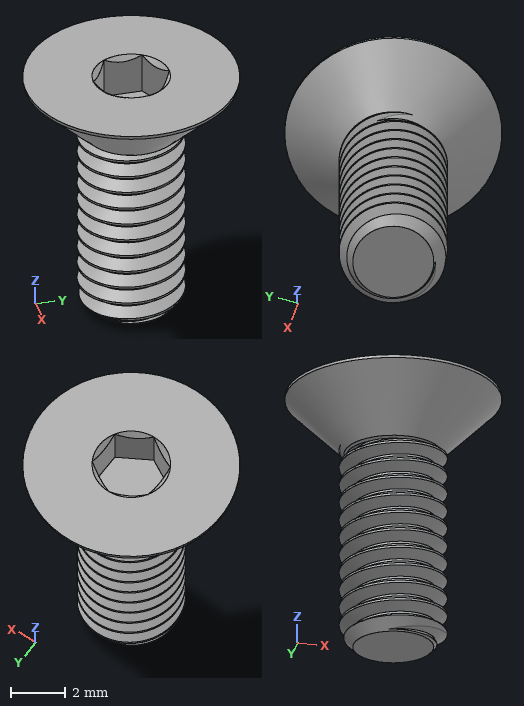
import cadquery as cq
import math

total_length = 10.0
head_diameter = 8.0
head_height = 2.3
rim_height = 0.12

major_diameter = 4.0
pitch = 0.7
root_diameter = 3.09
flank_angle = 30.0
root_width = pitch / 8
crest_height_at_x = 0.57
tip_radius = 1.49

socket_flats = 2.5
socket_depth = 1.6

head_radius = head_diameter / 2
major_radius = major_diameter / 2
root_radius = root_diameter / 2
head_base = total_length - head_height
rim_base = total_length - rim_height
head_base_radius = head_radius - (rim_base - head_base)
shank_top = rim_base - (head_radius - major_radius)


def revolve_profile(points):
    return cq.Workplane("XZ").polyline(points).close().revolve(360, (0, 0), (0, 1))


def make_head():
    return revolve_profile([
        (0, head_base),
        (head_base_radius, head_base),
        (head_radius, rim_base),
        (head_radius, total_length),
        (0, total_length),
    ])


def make_thread_groove():
    """Sweep one continuous V groove that overruns both ends of the shank."""
    clearance = 0.05
    outer_radius = major_radius + clearance
    root_half = root_width / 2
    mouth_half = root_half + (outer_radius - root_radius) * math.tan(math.radians(flank_angle))
    start = crest_height_at_x - 2.5 * pitch
    turns = math.ceil((shank_top - start) / pitch) + 1
    path = cq.Wire.makeHelix(pitch, turns * pitch, root_radius, cq.Vector(0, 0, start))
    profile = cq.Workplane("XZ").polyline([
        (root_radius, start + root_half),
        (outer_radius, start + mouth_half),
        (outer_radius, start - mouth_half),
        (root_radius, start - root_half),
    ]).close()
    return profile.sweep(cq.Workplane(obj=path), isFrenet=True)


def make_shank():
    blank = revolve_profile([
        (0, 0),
        (tip_radius, 0),
        (major_radius, major_radius - tip_radius),
        (major_radius, shank_top),
        (0, shank_top),
    ])
    bar_side = 1.5 * major_diameter
    bar = cq.Workplane("XY").rect(bar_side, bar_side).extrude(shank_top)
    return bar.cut(make_thread_groove()).intersect(blank)


def make_socket():
    corner_radius = socket_flats / 2 / math.cos(math.radians(30))
    hexagon = (
        cq.Workplane("XY", origin=(0, 0, total_length))
        .transformed(rotate=(0, 0, 90))
        .polygon(6, 2 * corner_radius)
        .extrude(-socket_depth)
    )
    lead_in = revolve_profile([
        (0, total_length),
        (corner_radius, total_length),
        (0, total_length - corner_radius),
    ])
    return hexagon.union(lead_in)


result = make_head().union(make_shank()).cut(make_socket())